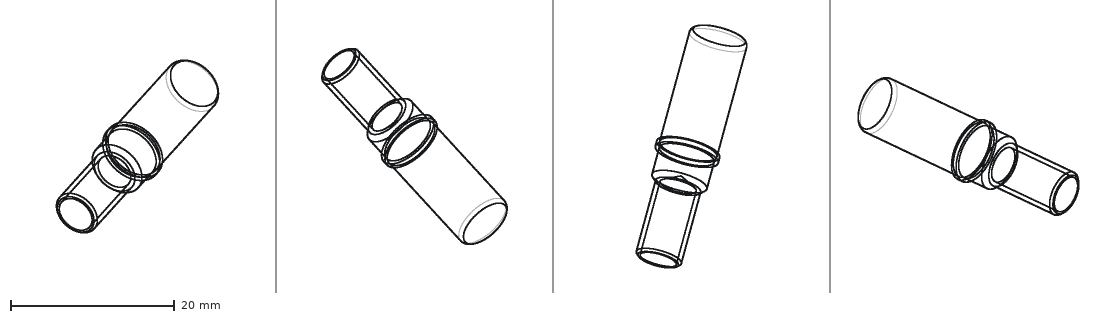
import cadquery as cq
import math

length = 29.83
flange_radius = 4.0
body_radius = 3.65
collar_radius = 3.5
neck_radius = 2.85
bore_radius = 2.3

tip_chamfer = 0.3
neck_end = 9.78
shoulder = collar_radius - neck_radius
flange_front = 14.0
flange_thickness = 0.72
end_fillet_length = 0.57
end_fillet_depth = 0.33
bore_depth = neck_end
drill_point_angle = 118.0

flange_back = flange_front + flange_thickness


def make_body():
    """Revolve the outer profile, drawn as (radius, station), about Y."""
    return (
        cq.Workplane("XY")
        .moveTo(0, 0)
        .lineTo(neck_radius - tip_chamfer, 0)
        .lineTo(neck_radius, tip_chamfer)
        .lineTo(neck_radius, neck_end)
        .lineTo(collar_radius, neck_end + shoulder)
        .lineTo(collar_radius, flange_front)
        .lineTo(flange_radius, flange_front)
        .lineTo(flange_radius, flange_back)
        .lineTo(body_radius, flange_back)
        .lineTo(body_radius, length - end_fillet_length)
        .tangentArcPoint((body_radius - end_fillet_depth, length), relative=False)
        .lineTo(0, length)
        .close()
        .revolve(360, (0, 0, 0), (0, 1, 0))
    )


def make_bore():
    """Blind drilled hole with a conical bottom."""
    point_depth = bore_radius / math.tan(math.radians(drill_point_angle / 2))
    return (
        cq.Workplane("XY")
        .polyline([
            (0, 0),
            (bore_radius, 0),
            (bore_radius, bore_depth),
            (0, bore_depth + point_depth),
        ])
        .close()
        .revolve(360, (0, 0, 0), (0, 1, 0))
    )


result = make_body().cut(make_bore())